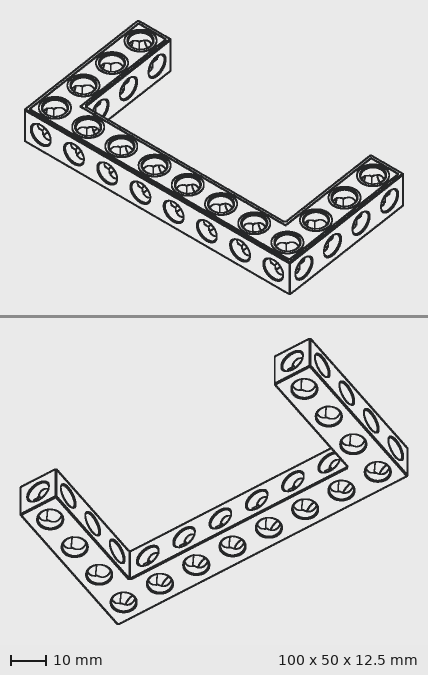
import cadquery as cq

pitch = 12.5
base_cells = 8
arm_cells = 4
hole_diameter = 7.0
recess_margin = 1.1
recess_depth = 0.2
edge_chamfer = 0.3
rim_diameter = 9.2

length = base_cells * pitch
depth = arm_cells * pitch
height = pitch


def u_profile(inset):
    """U outline open towards +Y, shrunk inwards by the inset."""
    left, right = inset, length - inset
    front, back = inset, depth - inset
    inner_left, inner_right = pitch - inset, length - pitch + inset
    inner_front = pitch - inset
    return [
        (left, front),
        (right, front),
        (right, back),
        (inner_right, back),
        (inner_right, inner_front),
        (inner_left, inner_front),
        (inner_left, back),
        (left, back),
    ]


def cell_centre(index):
    return (index + 0.5) * pitch


base_centres = [cell_centre(i) for i in range(base_cells)]
arm_centres = [cell_centre(i) for i in range(arm_cells)]
arm_columns = (base_centres[0], base_centres[-1])
mid_height = height / 2

vertical_points = [(x, arm_centres[0]) for x in base_centres]
for arm_x in arm_columns:
    vertical_points += [(arm_x, y) for y in arm_centres[1:]]

body = cq.Workplane("XY").polyline(u_profile(0)).close().extrude(height)
body = body.edges().chamfer(edge_chamfer)

recess_plane = cq.Workplane("XY", origin=(0, 0, height - recess_depth))
rims = recess_plane.pushPoints(vertical_points).circle(rim_diameter / 2).extrude(recess_depth)
recess = recess_plane.polyline(u_profile(recess_margin)).close().extrude(recess_depth)
body = body.cut(recess.cut(rims))


def bevelled_pin(span):
    """Cutter along +Z for a hole through a wall of the given thickness."""
    radius = hole_diameter / 2
    mouth = radius + edge_chamfer
    return (
        cq.Workplane("XZ")
        .lineTo(mouth, 0)
        .lineTo(radius, edge_chamfer)
        .lineTo(radius, span - edge_chamfer)
        .lineTo(mouth, span)
        .lineTo(0, span)
        .close()
        .revolve(360, (0, 0, 0), (0, 1, 0))
    )


def along_x(pin):
    return pin.rotate((0, 0, 0), (0, 1, 0), 90)


def along_y(pin):
    return pin.rotate((0, 0, 0), (1, 0, 0), -90)


wall_pin = bevelled_pin(pitch)
arm_pin = bevelled_pin(depth)
base_pin = bevelled_pin(length)

for x, y in vertical_points:
    body = body.cut(wall_pin.translate((x, y, 0)))

for x in base_centres:
    pin = arm_pin if x in arm_columns else wall_pin
    body = body.cut(along_y(pin).translate((x, 0, mid_height)))

body = body.cut(along_x(base_pin).translate((0, arm_centres[0], mid_height)))
for y in arm_centres[1:]:
    for wall_x in (0, length - pitch):
        body = body.cut(along_x(wall_pin).translate((wall_x, y, mid_height)))

result = body